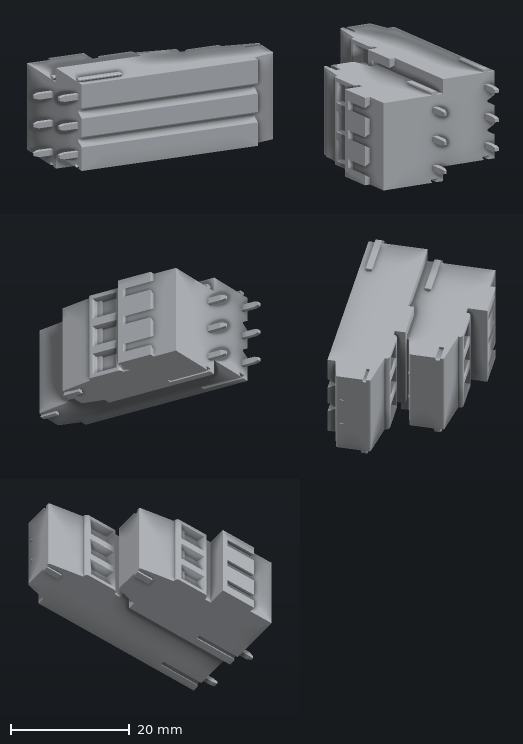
import cadquery as cq
import math


POLES = 3
PITCH = 5.08
ROW_HEIGHT = POLES * PITCH
ROW_SHIFT_X = 2 * PITCH
ROW_SHIFT_Y = 11.47
ROW_SHIFT_Z = PITCH / 2
TOTAL_WIDTH = 22.8

FRONT_FACE_X = 1.0
REAR_FACE_X = TOTAL_WIDTH - ROW_SHIFT_X
BULGE_X = 2.53
BULGE_BOTTOM_Y = 12.22
BULGE_TOP_Y = 18.83
SLANT_FOOT_X = 3.32
TOP_Y = 25.23
TOP_LEFT_X = 4.4
TOP_RIGHT_X = 10.3
TOP_FILLET_LEFT = 0.3
TOP_FILLET_RIGHT = 0.4
SHOULDER_X = 11.3
SHOULDER_Y = 21.22

LIP_SLOT_INNER_WIDTH = 2.6

NOTCH_DEPTH = 1.4
NOTCH_MOUTH = 1.85
NOTCH_FLOOR = 0.3

WINDOW_HEIGHT = 3.65
WINDOW_DEPTH = 1.3

BROW_DEPTH = 0.35
BROW_Y = 17.74
ROUND_BULGE = 0.3
ROUND_MIDDLE_Y = 17.65
LEDGE_DEPTH = 0.85
LEDGE_UPPER_Y = 17.44
LEDGE_LOWER_Y = 16.59

PIN_HEIGHT = 1.0
PIN_TIP_HEIGHT = 0.55
PIN_LENGTH = 3.45
PIN_TIP_LENGTH = 0.85

PIN_END_RAIL_X = 10.92
PIN_END_RAIL_LENGTH = 7.98
PIN_END_RAIL_HEIGHT = 0.6
PIN_END_RAIL_HEAD = 1.16
PIN_END_RAIL_NECK = 0.72
PIN_END_RAIL_CHAMFER = 0.12
PIN_END_RAIL_LIP = 0.3
GROOVE_MOUTH = 0.8
GROOVE_LIP = 0.25
SCREW_END_RAIL_X = 5.45
SCREW_END_RAIL_LENGTH = 3.05
SCREW_END_SLOT_DEPTH = 0.5

RIB_HEIGHT = 0.15
RIB_WIDTH = 0.6
RIB_THICKNESS = 0.35
RIB_X = 19.47
SLANT_RIB_Y = 24.0
SLANT_RIB_LENGTH = 0.8

FRONT = {
    "x": 0.0,
    "y": 0.0,
    "z": 0.0,
    "lip_x": 0.0,
    "inner_x": FRONT_FACE_X,
    "lip_bottom": 4.45,
    "lip_top": 11.02,
    "waist_x": 3.43,
    "bulge_fillet": 0.6,
    "slot_top": 10.0,
    "slot_width": 1.46,
    "window_bottom": 13.0,
    "window_top": 17.87,
    "floor_height": 2.68,
    "floor_bottom": 13.65,
    "floor_top": 17.45,
    "pin_x": 11.03,
    "pin_width": 0.9,
    "pin_tip_width": 0.45,
    "rail_head": 1.16,
    "rail_neck": 0.87,
    "rail_height": 0.6,
    "groove_width": 1.25,
    "groove_depth": 0.6,
    "slot_mouth": 0.92,
    "slot_floor": 0.7,
}
REAR = {
    "x": ROW_SHIFT_X,
    "y": ROW_SHIFT_Y,
    "z": ROW_SHIFT_Z,
    "lip_x": 11.57,
    "inner_x": REAR_FACE_X,
    "lip_bottom": 15.65,
    "lip_top": 22.7,
    "waist_x": 13.42,
    "bulge_fillet": 0.72,
    "slot_top": 21.3,
    "slot_width": 1.9,
    "window_bottom": 24.45,
    "window_top": 29.42,
    "floor_height": 2.6,
    "floor_bottom": 25.1,
    "floor_top": 28.1,
    "pin_x": 21.17,
    "pin_width": 0.8,
    "pin_tip_width": 0.8,
    "rail_head": 1.03,
    "rail_neck": 0.75,
    "rail_height": 0.5,
    "groove_width": 1.4,
    "groove_depth": 0.65,
    "slot_mouth": 0.56,
    "slot_floor": 0.56,
}


def pole_heights(row):
    """Z of the middle of every pole of a row."""
    return [row["z"] + (pole + 0.5) * PITCH for pole in range(POLES)]


def boundary_heights(row):
    """Z of every boundary between two poles of a row."""
    return [row["z"] + pole * PITCH for pole in range(1, POLES)]


def prism(points, bottom, height):
    """XY outline extruded upwards from a Z level."""
    return cq.Workplane("XY").workplane(offset=bottom).polyline(points).close().extrude(height)


def bar(points, start_y, end_y):
    """XZ outline extruded along Y."""
    return cq.Workplane("XZ", origin=(0, start_y, 0)).polyline(points).close().extrude(start_y - end_y)


def row_body(row):
    dx, dy = row["x"], row["y"]
    bulge_x = dx + BULGE_X
    bulge_bottom = (bulge_x, dy + BULGE_BOTTOM_Y)
    bulge_top = (bulge_x, dy + BULGE_TOP_Y)
    top_left = (dx + TOP_LEFT_X, dy + TOP_Y)
    top_right = (dx + TOP_RIGHT_X, dy + TOP_Y)
    outline = [
        (dx + REAR_FACE_X, 0),
        (dx + REAR_FACE_X, dy + SHOULDER_Y),
        (dx + SHOULDER_X, dy + SHOULDER_Y),
        top_right,
        top_left,
        (dx + SLANT_FOOT_X, dy + BULGE_TOP_Y),
        bulge_top,
        bulge_bottom,
        (row["waist_x"], dy + BULGE_BOTTOM_Y),
        (row["waist_x"], row["lip_top"]),
        (row["lip_x"], row["lip_top"]),
        (row["lip_x"], row["lip_bottom"]),
        (row["inner_x"], row["lip_bottom"]),
        (row["inner_x"], 0),
    ]
    body = prism(outline, row["z"], ROW_HEIGHT)
    rounded = [
        (bulge_bottom, row["bulge_fillet"]),
        (bulge_top, row["bulge_fillet"]),
        (top_left, TOP_FILLET_LEFT),
        (top_right, TOP_FILLET_RIGHT),
    ]
    for (x, y), radius in rounded:
        corner = cq.selectors.NearestToPointSelector((x, y, row["z"] + ROW_HEIGHT / 2))
        body = body.edges("|Z").edges(corner).fillet(radius)
    return body


def lip_slot(row, z):
    """Slot in the lip, open at its lower end and wider towards the body."""
    outer = row["slot_width"] / 2
    inner = LIP_SLOT_INNER_WIDTH / 2
    section = [
        (row["lip_x"], z - outer),
        (row["lip_x"], z + outer),
        (row["inner_x"], z + inner),
        (row["inner_x"], z - inner),
    ]
    return bar(section, row["lip_bottom"], row["slot_top"])


def window(row, z):
    """Wire window tapering from the bulge face to its floor."""
    mouth_length = row["window_top"] - row["window_bottom"]
    floor_length = row["floor_top"] - row["floor_bottom"]
    mouth_middle = (row["window_top"] + row["window_bottom"]) / 2
    floor_middle = (row["floor_top"] + row["floor_bottom"]) / 2
    return (
        cq.Workplane("YZ", origin=(row["x"] + BULGE_X, mouth_middle, z))
        .rect(mouth_length, WINDOW_HEIGHT)
        .workplane(offset=WINDOW_DEPTH)
        .center(floor_middle - mouth_middle, 0)
        .rect(floor_length, row["floor_height"])
        .loft(ruled=True)
    )


def stepped_window(row, z):
    """Wire window whose upper end steps down to the floor over a rounded ledge."""
    face_x = row["x"] + BULGE_X
    floor_x = face_x + WINDOW_DEPTH
    brow_x = face_x + BROW_DEPTH
    ledge_x = face_x + LEDGE_DEPTH
    round_x = brow_x + ROUND_BULGE
    envelope = (
        cq.Workplane("XY", origin=(0, 0, z - WINDOW_HEIGHT / 2))
        .moveTo(face_x, row["window_bottom"])
        .lineTo(floor_x, row["window_bottom"])
        .lineTo(floor_x, LEDGE_LOWER_Y)
        .lineTo(ledge_x, LEDGE_LOWER_Y)
        .lineTo(ledge_x, LEDGE_UPPER_Y)
        .threePointArc((round_x, ROUND_MIDDLE_Y), (brow_x, BROW_Y))
        .lineTo(face_x, row["window_top"])
        .close()
        .extrude(WINDOW_HEIGHT)
    )
    return window(row, z).intersect(envelope)


def pin(row, z):
    """Square pin with a tapered tip, pointing in -Y."""
    shank = PIN_LENGTH - PIN_TIP_LENGTH
    body = cq.Workplane("XZ", origin=(row["pin_x"], 0, z)).rect(row["pin_width"], PIN_HEIGHT).extrude(shank)
    tip = (
        cq.Workplane("XZ", origin=(row["pin_x"], -shank, z))
        .rect(row["pin_width"], PIN_HEIGHT)
        .workplane(offset=PIN_TIP_LENGTH)
        .rect(row["pin_tip_width"], PIN_TIP_HEIGHT)
        .loft(ruled=True)
    )
    return body.union(tip)


def pin_end_rail(row):
    """Dovetail rail on top of a row, running from the pin face."""
    middle = row["x"] + PIN_END_RAIL_X
    base = row["z"] + ROW_HEIGHT
    top = base + PIN_END_RAIL_HEIGHT
    head = PIN_END_RAIL_HEAD / 2
    crown = head - PIN_END_RAIL_CHAMFER
    neck = PIN_END_RAIL_NECK / 2
    section = [
        (middle - neck, base),
        (middle - head, top - PIN_END_RAIL_LIP),
        (middle - head, top - PIN_END_RAIL_CHAMFER),
        (middle - crown, top),
        (middle + crown, top),
        (middle + head, top - PIN_END_RAIL_CHAMFER),
        (middle + head, top - PIN_END_RAIL_LIP),
        (middle + neck, base),
    ]
    return bar(section, 0, PIN_END_RAIL_LENGTH)


def pin_end_groove(row):
    """Dovetail groove in the underside of a row, below its dovetail rail."""
    middle = row["x"] + PIN_END_RAIL_X
    base = row["z"]
    top = base + row["groove_depth"]
    head = row["groove_width"] / 2
    mouth = GROOVE_MOUTH / 2
    section = [
        (middle - mouth, base),
        (middle - head, top - GROOVE_LIP),
        (middle - head, top),
        (middle + head, top),
        (middle + head, top - GROOVE_LIP),
        (middle + mouth, base),
    ]
    return bar(section, 0, PIN_END_RAIL_LENGTH)


def screw_end_rail(row):
    """T-shaped rail under a row, running back from the screw face."""
    middle = row["x"] + SCREW_END_RAIL_X
    base = row["z"]
    shelf = base - row["rail_height"] / 2
    bottom = base - row["rail_height"]
    head = row["rail_head"] / 2
    neck = row["rail_neck"] / 2
    section = [
        (middle - neck, base),
        (middle - neck, shelf),
        (middle - head, shelf),
        (middle - head, bottom),
        (middle + head, bottom),
        (middle + head, shelf),
        (middle + neck, shelf),
        (middle + neck, base),
    ]
    end = row["y"] + TOP_Y
    return bar(section, end - SCREW_END_RAIL_LENGTH, end)


def screw_end_slot(row):
    """Slot in the top of a row, above its T-shaped rail."""
    middle = row["x"] + SCREW_END_RAIL_X
    top = row["z"] + ROW_HEIGHT
    floor = top - SCREW_END_SLOT_DEPTH
    section = [
        (middle - row["slot_mouth"] / 2, top),
        (middle - row["slot_floor"] / 2, floor),
        (middle + row["slot_floor"] / 2, floor),
        (middle + row["slot_mouth"] / 2, top),
    ]
    end = row["y"] + TOP_Y
    return bar(section, end - SCREW_END_RAIL_LENGTH, end)


def side_notch(z):
    """V groove along the whole outer side of the rear row."""
    bottom_x = TOTAL_WIDTH - NOTCH_DEPTH
    section = [
        (TOTAL_WIDTH, z - NOTCH_MOUTH / 2),
        (bottom_x, z - NOTCH_FLOOR / 2),
        (bottom_x, z + NOTCH_FLOOR / 2),
        (TOTAL_WIDTH, z + NOTCH_MOUTH / 2),
    ]
    return bar(section, 0, REAR["y"] + SHOULDER_Y)


def screw_face_rib(z):
    """Low rib on the rear row's screw face, rooted inside the row."""
    middle_y = REAR["y"] + TOP_Y
    return cq.Workplane("XY").box(RIB_WIDTH, 2 * RIB_HEIGHT, RIB_THICKNESS).translate((RIB_X, middle_y, z))


def slant_rib(z):
    """Low rib on the front row's slanted face, in line with the slant."""
    slant = math.degrees(math.atan2(SHOULDER_X - TOP_RIGHT_X, TOP_Y - SHOULDER_Y))
    share = (TOP_Y - SLANT_RIB_Y) / (TOP_Y - SHOULDER_Y)
    middle_x = TOP_RIGHT_X + share * (SHOULDER_X - TOP_RIGHT_X)
    return (
        cq.Workplane("XY")
        .box(2 * RIB_HEIGHT, SLANT_RIB_LENGTH, RIB_THICKNESS)
        .rotate((0, 0, 0), (0, 0, 1), slant)
        .translate((middle_x, SLANT_RIB_Y, z))
    )


def finished_row(row, window_shape):
    """Row body with its windows, lip slots, rails, grooves and pins."""
    body = row_body(row)
    body = body.cut(pin_end_groove(row)).cut(screw_end_slot(row))
    body = body.union(pin_end_rail(row)).union(screw_end_rail(row))
    for z in pole_heights(row):
        body = body.cut(lip_slot(row, z)).cut(window_shape(row, z)).union(pin(row, z))
    return body


front_row = finished_row(FRONT, stepped_window)
for height in boundary_heights(FRONT):
    front_row = front_row.union(slant_rib(height))

rear_row = finished_row(REAR, window)
for height in boundary_heights(REAR):
    rear_row = rear_row.cut(side_notch(height)).union(screw_face_rib(height))

result = front_row.union(rear_row)